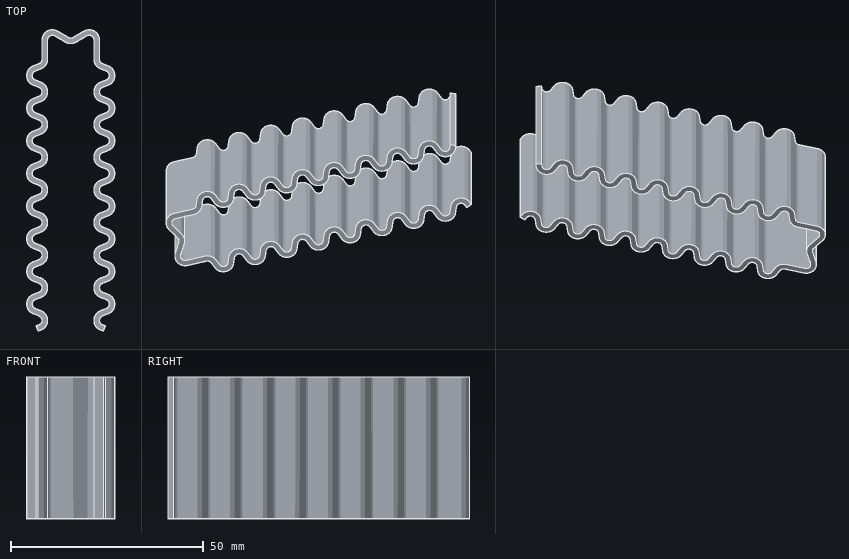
import cadquery as cq
import math

height = 37.0
overall_width = 23.0
overall_length = 78.5
thickness = 1.5
bend_radius = 2.0
waves_length = 68.0
wave_count = 8
wall_x = 6.75
slope_angle = 30.0

half_thickness = thickness / 2
half_pitch = waves_length / wave_count / 2

outer_crest_x = overall_width / 2 - half_thickness
center_step_x = outer_crest_x - wall_x - 2 * bend_radius
center_distance = math.hypot(center_step_x, half_pitch)
flank_length = math.sqrt(center_distance**2 - (2 * bend_radius) ** 2)
wave_turn = math.degrees(
    math.asin(2 * bend_radius / center_distance) + math.atan2(center_step_x, half_pitch)
)

slope_sin = math.sin(math.radians(slope_angle))
slope_cos = math.cos(math.radians(slope_angle))
slope_length = (wall_x - bend_radius * (1 + 2 * slope_sin)) / slope_cos

corner_center_y = overall_length / 2 - half_thickness - bend_radius
tip_drop = half_pitch / 2 + half_thickness * math.sin(math.radians(wave_turn))
wall_end_y = -overall_length / 2 + tip_drop + waves_length
wall_length = corner_center_y - wall_end_y
middle_y = corner_center_y - slope_length * slope_sin + bend_radius * (2 * slope_cos - 1)


def half_strip_steps():
    """Centreline of the -X half, from the middle of the V to the cut tip.

    Each step is ("line", length) or ("bend", angle), with left turns positive.
    """
    steps = [
        ("bend", -slope_angle),
        ("line", slope_length),
        ("bend", 90 + slope_angle),
        ("line", wall_length),
        ("bend", -wave_turn),
    ]
    for _ in range(wave_count):
        steps += [
            ("line", flank_length),
            ("bend", 2 * wave_turn),
            ("line", flank_length),
            ("bend", -2 * wave_turn),
        ]
    steps.append(("line", flank_length / 2))
    return steps


def left_of(point, heading, distance):
    """Point at a distance to the left of a heading (degrees) from a given point."""
    angle = math.radians(heading + 90)
    return (point[0] + distance * math.cos(angle), point[1] + distance * math.sin(angle))


def trace_edge(steps, offset):
    """Follow the centreline at a sideways offset (left positive).

    Returns the start point and a list of (arc midpoint or None, end point).
    """
    position = (0.0, middle_y)
    heading = 180.0
    start = left_of(position, heading, offset)
    segments = []
    for kind, amount in steps:
        if kind == "line":
            position = left_of(position, heading - 90, amount)
            midpoint = None
        else:
            signed_radius = math.copysign(bend_radius, amount)
            center = left_of(position, heading, signed_radius)
            midpoint = left_of(center, heading + amount / 2, offset - signed_radius)
            heading += amount
            position = left_of(center, heading, -signed_radius)
        segments.append((midpoint, left_of(position, heading, offset)))
    return start, segments


def reverse_edge(start, segments):
    """The same edge followed from its end back to its start."""
    points = [start] + [end for _, end in segments]
    midpoints = [midpoint for midpoint, _ in segments]
    return points[-1], list(zip(midpoints[::-1], points[-2::-1]))


def draw_edge(sketch, segments):
    """Add the lines and arcs of an edge to an open outline."""
    for midpoint, end in segments:
        if midpoint is None:
            sketch = sketch.lineTo(*end)
        else:
            sketch = sketch.threePointArc(midpoint, end)
    return sketch


def half_strip():
    """The -X half of the strip, extruded to its full height."""
    steps = half_strip_steps()
    start, left_edge = trace_edge(steps, half_thickness)
    tip, right_edge = reverse_edge(*trace_edge(steps, -half_thickness))
    outline = draw_edge(cq.Workplane("XY").moveTo(*start), left_edge)
    outline = draw_edge(outline.lineTo(*tip), right_edge)
    return outline.close().extrude(height)


left_half = half_strip()
result = left_half.union(left_half.mirror("YZ")).clean()